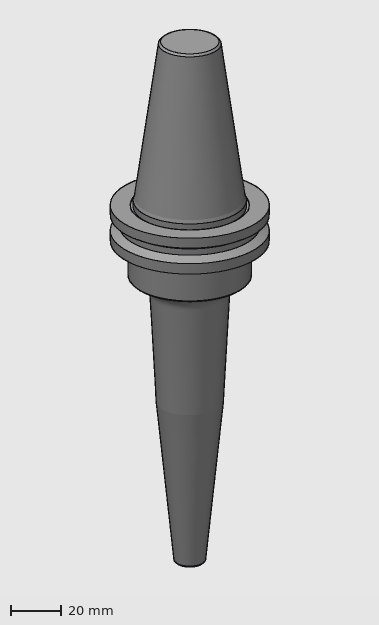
import cadquery as cq
import math

total_length = 228.5
flange_radius = 31.7

flange_top = 156.7
flange_bottom = 141.0
groove_upper_edge = 152.3
groove_lower_edge = 145.5
groove_floor_radius = 28.0
groove_floor_top = 150.3
groove_floor_bottom = 147.5

gauge_radius = 22.2
gauge_height = 160.0
shoulder_radius = 22.5
shoulder_height = 158.7
taper_top_radius = 12.5
taper_top_chamfer = 1.0

recess_radius = 23.8
recess_depth = 0.7

collar_radius = 24.7
collar_chamfer = 0.7
neck_round_radius = 7.8
neck_bottom_radius = 16.0
neck_bottom = 117.5

nose_step_radius = 13.5
nose_step_height = 70.3
tip_radius = 6.5
tip_chamfer = 1.0


def make_body():
    """Revolve the half profile, drawn from the tip upward, around Z."""
    profile = (
        cq.Workplane("XZ")
        .moveTo(0, 0)
        .lineTo(tip_radius - tip_chamfer, 0)
        .lineTo(tip_radius, tip_chamfer)
        .lineTo(nose_step_radius, nose_step_height)
        .lineTo(neck_bottom_radius, neck_bottom)
    )
    collar_underside = neck_bottom + neck_round_radius
    neck_top_radius = neck_bottom_radius + neck_round_radius
    midpoint_offset = neck_round_radius * math.sqrt(0.5)
    profile = profile.threePointArc(
        (neck_top_radius - midpoint_offset, neck_bottom + midpoint_offset),
        (neck_top_radius, collar_underside),
    )
    profile = (
        profile.lineTo(collar_radius - collar_chamfer, collar_underside)
        .lineTo(collar_radius, collar_underside + collar_chamfer)
        .lineTo(collar_radius, flange_bottom)
        .lineTo(flange_radius, flange_bottom)
        .lineTo(flange_radius, groove_lower_edge)
        .lineTo(groove_floor_radius, groove_floor_bottom)
        .lineTo(groove_floor_radius, groove_floor_top)
        .lineTo(flange_radius, groove_upper_edge)
        .lineTo(flange_radius, flange_top)
        .lineTo(shoulder_radius, flange_top)
        .lineTo(shoulder_radius, shoulder_height)
        .lineTo(gauge_radius, gauge_height)
        .lineTo(taper_top_radius, total_length - taper_top_chamfer)
        .lineTo(taper_top_radius - taper_top_chamfer, total_length)
        .lineTo(0, total_length)
        .close()
    )
    return profile.revolve(360, (0, 0, 0), (0, 1, 0))


def make_recess():
    """Shallow ring to remove from the upper flange face."""
    return (
        cq.Workplane("XY")
        .workplane(offset=flange_top - recess_depth)
        .circle(recess_radius)
        .circle(shoulder_radius)
        .extrude(recess_depth)
    )


result = make_body().cut(make_recess())